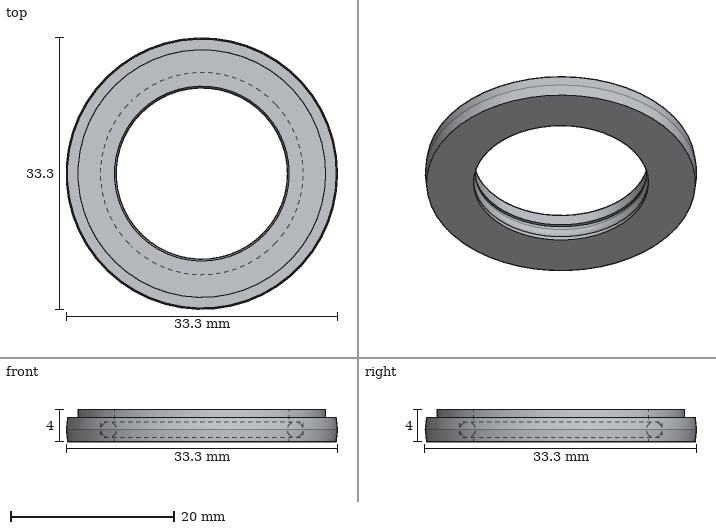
import cadquery as cq

rim_radius = 16.65
rim_taper = 0.15
rim_height = 3.0
total_height = 4.0
collar_radius = 15.2
bore_radius = 10.72
seal_section_radius = 0.95
seal_inner_radius = 10.5

middle_height = rim_height / 2
rim_edge_radius = rim_radius - rim_taper
seal_center_radius = seal_inner_radius + seal_section_radius
groove_radius = seal_center_radius + seal_section_radius
groove_bottom = middle_height - seal_section_radius
groove_top = middle_height + seal_section_radius


def revolve_about_z(profile):
    """Turn a closed profile, drawn as (radius, height), fully around Z."""
    return profile.revolve(360, (0, 0, 0), (0, 1, 0), clean=False)


def make_housing():
    """Ring with a double-tapered rim, a raised collar and an inner seal groove."""
    profile = (
        cq.Workplane("XZ")
        .moveTo(bore_radius, 0)
        .lineTo(rim_edge_radius, 0)
        .lineTo(rim_radius, middle_height)
        .lineTo(rim_edge_radius, rim_height)
        .lineTo(collar_radius, rim_height)
        .lineTo(collar_radius, total_height)
        .lineTo(bore_radius, total_height)
        .lineTo(bore_radius, groove_top)
        .lineTo(groove_radius, groove_top)
        .lineTo(groove_radius, groove_bottom)
        .lineTo(bore_radius, groove_bottom)
        .close()
    )
    return revolve_about_z(profile)


def make_seal():
    """O-ring touching the groove walls and floor, standing proud of the bore."""
    profile = (
        cq.Workplane("XZ")
        .moveTo(seal_inner_radius, middle_height)
        .threePointArc((seal_center_radius, groove_top), (groove_radius, middle_height))
        .threePointArc((seal_center_radius, groove_bottom), (seal_inner_radius, middle_height))
        .close()
    )
    return revolve_about_z(profile)


housing = make_housing()
seal = make_seal()

result = cq.Compound.makeCompound([housing.val(), seal.val()])